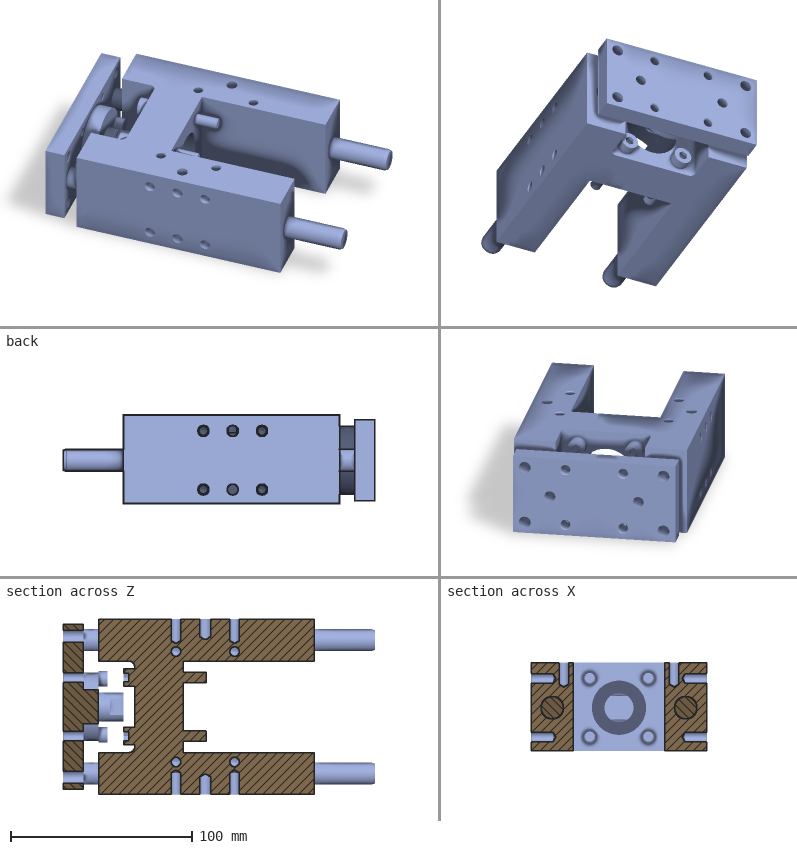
import cadquery as cq
import math

TOTAL_LENGTH = 172.0
AXIS_Z = -0.5
HOLE_PITCH = 32.3

HOUSING_LENGTH = 119.4
HOUSING_WIDTH = 97.0
HOUSING_HEIGHT = 49.0
HOUSING_FRONT_X = 19.5
HOUSING_BACK_X = HOUSING_FRONT_X + HOUSING_LENGTH
NOTCH_WIDTH = 50.2
WEB_FRONT_X = 39.4
WEB_BACK_X = 66.4
WEB_BORE_DIAMETER = 30.0
NOTCH_CORNER_RADIUS = 3.1

HOLE_GROUP_X = 78.5
TOP_TAP_Y = 30.5
TOP_DOWEL_Y = 40.5
DOWEL_DIAMETER = 6.0
DOWEL_DEPTH = 10.0
TAP_DIAMETER = 5.0
TAP_MOUTH_DIAMETER = 6.0
TAP_DEPTH = 12.0
DRILL_POINT_ANGLE = 120.0

CLAMP_HEAD_DIAMETER = 10.0
CLAMP_HEAD_HEIGHT = 6.2
CLAMP_SHANK_DIAMETER = 6.0
CLAMP_SHANK_END_X = 79.1
CLAMP_SHANK_CHAMFER = 0.5
SOCKET_ACROSS_FLATS = 4.6
SOCKET_DEPTH = 3.0

PLATE_THICKNESS = 11.2
PLATE_WIDTH = 91.2
PLATE_HEIGHT = 44.7
PLATE_CORNER_HOLE_DIAMETER = 6.5
PLATE_CORNER_HOLE_Y = 38.9
PLATE_DOWEL_Y = 24.8

ROD_DIAMETER = 12.0
ROD_Y = 36.8
ROD_CHAMFER_LENGTH = 1.7
ROD_CHAMFER_DEPTH = 0.5

FLANGE_DIAMETER = 37.7
FLANGE_BACK_X = HOUSING_FRONT_X
FLANGE_SCREW_DIAMETER = 8.6
FLANGE_SCREW_HEIGHT = 5.0
FLANGE_SCREW_Y = 15.5

COUPLING_DIAMETER = 16.0
COUPLING_END_X = 33.4
COUPLING_ACROSS_FLATS = 13.0
COUPLING_FLAT_LENGTH = 7.4

SIDES = (-1, 1)
ALONG_X = cq.Vector(1, 0, 0)


def rod_along_x(diameter, x_start, x_end, y=0.0, z=AXIS_Z):
    """Plain cylinder parallel to X."""
    start = cq.Vector(x_start, y, z)
    return cq.Workplane(cq.Solid.makeCylinder(diameter / 2, x_end - x_start, start, ALONG_X))


def dowel_hole(mouth, direction):
    """Flat-bottomed blind hole, as a solid to be cut away."""
    return cq.Workplane(cq.Solid.makeCylinder(DOWEL_DIAMETER / 2, DOWEL_DEPTH, mouth, direction))


def tap_mouth(mouth, direction):
    """45 degree countersink at the mouth of a tapped hole."""
    depth = (TAP_MOUTH_DIAMETER - TAP_DIAMETER) / 2
    cone = cq.Solid.makeCone(TAP_MOUTH_DIAMETER / 2, TAP_DIAMETER / 2, depth, mouth, direction)
    return cq.Workplane(cone)


def blind_tap(mouth, direction):
    """Tapped blind hole with a countersunk mouth and a drill point."""
    radius = TAP_DIAMETER / 2
    point_depth = radius / math.tan(math.radians(DRILL_POINT_ANGLE / 2))
    bottom = mouth + direction * TAP_DEPTH
    bore = cq.Workplane(cq.Solid.makeCylinder(radius, TAP_DEPTH, mouth, direction))
    point = cq.Workplane(cq.Solid.makeCone(radius, 0, point_depth, bottom, direction))
    return bore.union(point).union(tap_mouth(mouth, direction))


def clamp_screw_parts(y, z):
    """Screw head with hexagon socket in front of the web, and shank end behind it."""
    head_front_x = WEB_FRONT_X - CLAMP_HEAD_HEIGHT
    socket = (
        cq.Workplane("YZ", origin=(head_front_x, y, z))
        .polygon(6, SOCKET_ACROSS_FLATS, circumscribed=True)
        .extrude(SOCKET_DEPTH)
    )
    head = rod_along_x(CLAMP_HEAD_DIAMETER, head_front_x, WEB_FRONT_X, y, z).cut(socket)
    shank = rod_along_x(CLAMP_SHANK_DIAMETER, WEB_BACK_X, CLAMP_SHANK_END_X, y, z)
    shank = shank.faces(">X").chamfer(CLAMP_SHANK_CHAMFER)
    return head, shank


def housing_block():
    """H-shaped block with rod bores and a bore through the web."""
    block = cq.Workplane("XY").box(HOUSING_LENGTH, HOUSING_WIDTH, HOUSING_HEIGHT)
    block = block.translate((HOUSING_FRONT_X + HOUSING_LENGTH / 2, 0, 0))

    front_depth = WEB_FRONT_X - HOUSING_FRONT_X
    front_notch = cq.Workplane("XY").box(front_depth, NOTCH_WIDTH, HOUSING_HEIGHT)
    front_notch = front_notch.edges("|Z and >X").fillet(NOTCH_CORNER_RADIUS)
    front_notch = front_notch.translate((HOUSING_FRONT_X + front_depth / 2, 0, 0))

    back_depth = HOUSING_BACK_X - WEB_BACK_X
    back_notch = cq.Workplane("XY").box(back_depth, NOTCH_WIDTH, HOUSING_HEIGHT)
    back_notch = back_notch.translate((WEB_BACK_X + back_depth / 2, 0, 0))

    block = block.cut(front_notch).cut(back_notch)
    block = block.cut(rod_along_x(WEB_BORE_DIAMETER, WEB_FRONT_X, WEB_BACK_X))
    for side in SIDES:
        block = block.cut(rod_along_x(ROD_DIAMETER, HOUSING_FRONT_X, HOUSING_BACK_X, side * ROD_Y))
    return block


def top_holes(side):
    """Two tapped holes and a dowel hole in the top of one arm."""
    down = cq.Vector(0, 0, -1)
    top_z = HOUSING_HEIGHT / 2
    holes = dowel_hole(cq.Vector(HOLE_GROUP_X, side * TOP_DOWEL_Y, top_z), down)
    for end in SIDES:
        tap_x = HOLE_GROUP_X + end * HOLE_PITCH / 2
        holes = holes.union(blind_tap(cq.Vector(tap_x, side * TOP_TAP_Y, top_z), down))
    return holes


def side_holes(side, level):
    """Row of two tapped holes and a dowel hole in the outer face of one arm."""
    inward = cq.Vector(0, -side, 0)
    face_y = side * HOUSING_WIDTH / 2
    row_z = AXIS_Z + level * HOLE_PITCH / 2
    holes = dowel_hole(cq.Vector(HOLE_GROUP_X, face_y, row_z), inward)
    for end in SIDES:
        tap_x = HOLE_GROUP_X + end * HOLE_PITCH / 2
        holes = holes.union(blind_tap(cq.Vector(tap_x, face_y, row_z), inward))
    return holes


def make_housing():
    body = housing_block()
    for side in SIDES:
        body = body.cut(top_holes(side))
        for level in SIDES:
            body = body.cut(side_holes(side, level))
            head, shank = clamp_screw_parts(side * HOLE_PITCH / 2, AXIS_Z + level * HOLE_PITCH / 2)
            body = body.union(head).union(shank)
    return body


def make_plate():
    """Front plate with corner holes, tapped holes and dowel holes, all through."""
    plate = cq.Workplane("XY").box(PLATE_THICKNESS, PLATE_WIDTH, PLATE_HEIGHT)
    plate = plate.translate((PLATE_THICKNESS / 2, 0, AXIS_Z))
    for side in SIDES:
        plate = plate.cut(rod_along_x(DOWEL_DIAMETER, 0, PLATE_THICKNESS, side * PLATE_DOWEL_Y))
        for level in SIDES:
            row_z = AXIS_Z + level * HOLE_PITCH / 2
            corner_y = side * PLATE_CORNER_HOLE_Y
            tap_y = side * HOLE_PITCH / 2
            plate = plate.cut(rod_along_x(PLATE_CORNER_HOLE_DIAMETER, 0, PLATE_THICKNESS, corner_y, row_z))
            plate = plate.cut(rod_along_x(TAP_DIAMETER, 0, PLATE_THICKNESS, tap_y, row_z))
            plate = plate.cut(tap_mouth(cq.Vector(0, tap_y, row_z), ALONG_X))
    return plate


def make_guide_rod(side):
    """Guide rod with a slim lead-in chamfer at its free end."""
    chamfer_start_x = TOTAL_LENGTH - ROD_CHAMFER_LENGTH
    rod = rod_along_x(ROD_DIAMETER, PLATE_THICKNESS, chamfer_start_x, side * ROD_Y)
    radius = ROD_DIAMETER / 2
    tip_start = cq.Vector(chamfer_start_x, side * ROD_Y, AXIS_Z)
    tip = cq.Solid.makeCone(radius, radius - ROD_CHAMFER_DEPTH, ROD_CHAMFER_LENGTH, tip_start, ALONG_X)
    return rod.union(cq.Workplane(tip))


def make_coupling():
    """Round flange with two screw heads and a stud with two wrench flats."""
    flange = rod_along_x(FLANGE_DIAMETER, PLATE_THICKNESS, FLANGE_BACK_X)
    stud = rod_along_x(COUPLING_DIAMETER, FLANGE_BACK_X, COUPLING_END_X)
    flat_cut_height = COUPLING_DIAMETER - COUPLING_ACROSS_FLATS
    for level in SIDES:
        cutter = cq.Workplane("XY").box(COUPLING_FLAT_LENGTH, COUPLING_DIAMETER, flat_cut_height)
        cutter_z = AXIS_Z + level * (COUPLING_ACROSS_FLATS + flat_cut_height) / 2
        stud = stud.cut(cutter.translate((COUPLING_END_X - COUPLING_FLAT_LENGTH / 2, 0, cutter_z)))
    coupling = flange.union(stud)
    screw_end_x = FLANGE_BACK_X + FLANGE_SCREW_HEIGHT
    for side in SIDES:
        screw_y = side * FLANGE_SCREW_Y
        coupling = coupling.union(rod_along_x(FLANGE_SCREW_DIAMETER, FLANGE_BACK_X, screw_end_x, screw_y))
    return coupling


def make_slide():
    body = make_plate().union(make_coupling())
    for side in SIDES:
        body = body.union(make_guide_rod(side))
    return body


housing = make_housing()
slide = make_slide()
result = cq.Compound.makeCompound([housing.val(), slide.val()])